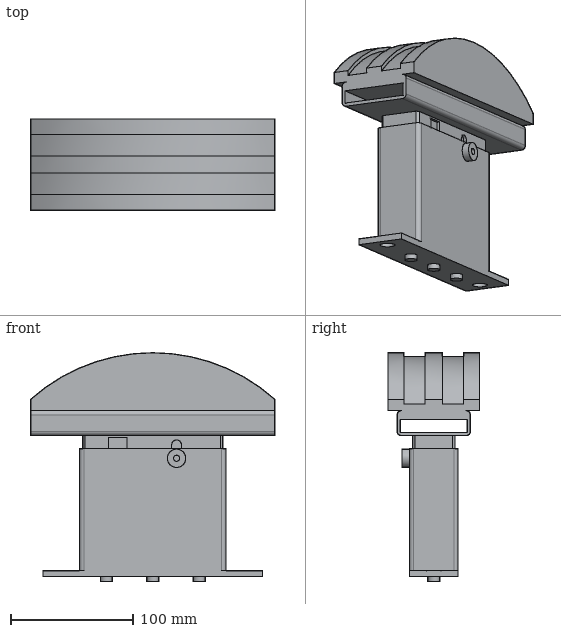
import cadquery as cq
import math

base_length = 180.0
base_width = 40.0
base_thickness = 5.0
mount_hole_diameter = 12.0
mount_hole_spacing = 155.0
mount_hole_count = 2

stud_diameter = 10.0
stud_length = 4.0
stud_pitch = 38.0
stud_count = 3

post_length = 120.0
post_width = base_width
post_top = 105.0
post_corner_radius = 3.5

post_wall = 2.5
inner_post_length = post_length - 2 * post_wall
inner_post_width = post_width - 2 * post_wall
inner_post_chamfer = 2.0

window_width = 15.0
window_x = -28.75
window_top = 114.0
slot_width = 8.0
slot_top = 112.0

boss_x = 19.5
boss_z = 97.0
boss_diameter = 15.0
boss_length = 6.0
boss_hole_diameter = 5.0

rail_length = 200.0
rail_width = 60.0
rail_height = 20.5
rail_thickness = 2.75
rail_corner_radius = 3.5
rail_mouth = 36.0
rail_bottom = 115.5
rail_top = rail_bottom + rail_height

pad_length = rail_length
pad_width = 75.0
pad_radius = 150.0
pad_apex = 183.51
pad_tongue_bottom = 128.6
groove_depth = 3.0
groove_width = 17.5
middle_land_width = 14.0
groove_offset = (middle_land_width + groove_width) / 2


def centred_block(length, width, bottom, top):
    """Block centred on X = Y = 0 between two heights."""
    block = cq.Workplane("XY").workplane(offset=bottom).rect(length, width)
    return block.extrude(top - bottom)


def make_base():
    base = centred_block(base_length, base_width, 0, base_thickness)
    holes = base.faces(">Z").workplane().rarray(mount_hole_spacing, 1, mount_hole_count, 1)
    base = holes.hole(mount_hole_diameter)
    studs = cq.Workplane("XY").rarray(stud_pitch, 1, stud_count, 1).circle(stud_diameter / 2)
    return base.union(studs.extrude(-stud_length))


def make_outer_post():
    post = centred_block(post_length, post_width, base_thickness, post_top)
    return post.edges("|Z").fillet(post_corner_radius)


def make_inner_post():
    """Exposed upper part of the inner post, with a window and a round-topped slot in its front wall."""
    post = centred_block(inner_post_length, inner_post_width, post_top, rail_bottom)
    post = post.edges("|Z").chamfer(inner_post_chamfer)
    front = cq.Plane(origin=(0, -inner_post_width / 2, 0), xDir=(1, 0, 0), normal=(0, -1, 0))
    window_height = window_top - post_top
    window = cq.Workplane(front).center(window_x, post_top + window_height / 2)
    window = window.rect(window_width, window_height).extrude(-post_wall)
    slot_radius = slot_width / 2
    slot = (
        cq.Workplane(front)
        .moveTo(boss_x - slot_radius, post_top)
        .lineTo(boss_x - slot_radius, slot_top - slot_radius)
        .threePointArc((boss_x, slot_top), (boss_x + slot_radius, slot_top - slot_radius))
        .lineTo(boss_x + slot_radius, post_top)
        .close()
        .extrude(-post_wall)
    )
    return post.cut(window).cut(slot)


def make_boss():
    front = cq.Workplane("XZ", origin=(boss_x, -post_width / 2, boss_z))
    return front.circle(boss_diameter / 2).circle(boss_hole_diameter / 2).extrude(boss_length)


def make_rail():
    rail = centred_block(rail_length, rail_width, rail_bottom, rail_top)
    rail = rail.edges("|X").fillet(rail_corner_radius)
    inner_width = rail_width - 2 * rail_thickness
    cavity = centred_block(
        rail_length, inner_width, rail_bottom + rail_thickness, rail_top - rail_thickness
    )
    mouth = centred_block(rail_length, rail_mouth, rail_top - rail_thickness, rail_top)
    return rail.cut(cavity).cut(mouth)


def arched_slab(radius, width, y_centre):
    """Slab with an arched top, concentric with the pad, standing on the rail top."""
    centre_z = pad_apex - pad_radius
    half_length = pad_length / 2
    end_z = centre_z + math.sqrt(radius**2 - half_length**2)
    profile = (
        cq.Workplane("XZ", origin=(0, y_centre, 0))
        .moveTo(-half_length, rail_top)
        .lineTo(-half_length, end_z)
        .threePointArc((0, centre_z + radius), (half_length, end_z))
        .lineTo(half_length, rail_top)
        .close()
    )
    return profile.extrude(width / 2, both=True)


def make_pad():
    """Arched pad with two grooves along its crown and a T-shaped tongue filling the rail mouth."""
    pad = arched_slab(pad_radius, pad_width, 0)
    for side in (-1, 1):
        y_centre = side * groove_offset
        groove = arched_slab(pad_radius, groove_width, y_centre)
        groove = groove.cut(arched_slab(pad_radius - groove_depth, groove_width, y_centre))
        pad = pad.cut(groove)
    lip_bottom = rail_top - rail_thickness
    neck = centred_block(pad_length, rail_mouth, lip_bottom, rail_top)
    tongue_width = rail_width - 2 * rail_thickness
    tongue = centred_block(pad_length, tongue_width, pad_tongue_bottom, lip_bottom)
    return pad.union(neck).union(tongue)


result = (
    make_base()
    .union(make_outer_post())
    .union(make_inner_post())
    .union(make_boss())
    .union(make_rail())
    .union(make_pad())
)